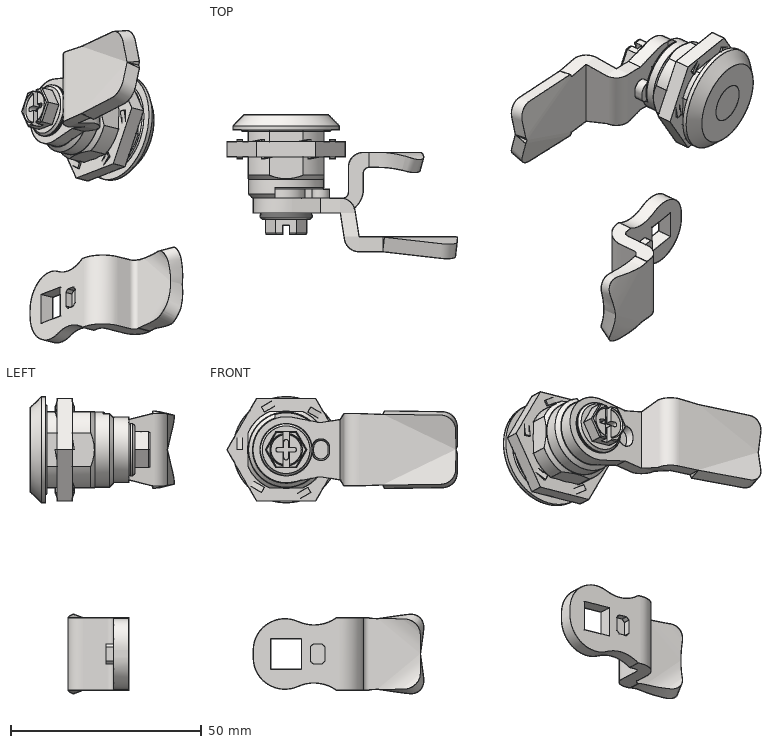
import cadquery as cq
import math


head_face_y = 22.0
head_cone_y = 19.0
head_back_y = 17.9
head_face_radius = 11.1
head_radius = 14.0
thread_radius = 10.95
thread_end_y = 6.0
thread_chamfer = 1.1
flats_width = 20.0
barrel_radius = 9.9
barrel_chamfer = 1.1
notch_depth = 2.35
notch_rim_height = 0.5
notch_rim_width = 0.2
notch_offset = 2.9

core_radius = 5.0
spindle_side = 8.0

gasket_thickness = 0.4
gasket_radius = 11.9
gasket_chamfer = 0.3

nut_back_y = 14.85
nut_thickness = 4.0
nut_width = 27.0
nut_bore = 20.3
tooth_count = 6
tooth_inner_x = 11.4
tooth_width = 1.6
tooth_length = 3.1
tooth_height = 0.55

washer_radius = 6.7
washer_thickness = 0.5
shank_radius = 2.5
shank_length = 9.4
collar_radius = 6.9
collar_thickness = 1.2
collar_chamfer = 0.6
hex_width = 9.45
hex_height = 4.0
hex_chamfer_width = 0.2
hex_chamfer_height = 0.5
dish_radius = 4.3
dish_floor_radius = 4.0
dish_depth = 0.5
slot_width = 1.7
slot_depth = 2.4
cross_depth = 2.8
cross_span = 5.4
cross_arm_width = 1.25

sheet = 4.0
grip_half_width = 9.5
grip_end_half = 9.3
grip_corner_radius = 3.9

cam_round_radius = 8.7
cam_waist_x = 9.0
cam_waist_half = 7.1
cam_base_end_x = 14.2
cam_base_end_half = 8.0
cam_step_x = 19.2
cam_step_y = -10.2
cam_crease_x = 25.4
cam_tip_x = 44.65
cam_fold_angle = 15.0
cam_stop_x = 9.15
cam_stop_size = (4.6, 5.7)
cam_stop_height = 2.35
cam_stop_draft = 10.0

spare_drop = 53.7
spare_round_radius = 8.4
spare_round_x = -0.3
spare_round_z = 0.9
spare_waist_radius = 10.2
spare_waist_half = 7.7
spare_leg_x = 16.35
spare_bend_radius = 6.25
spare_grip_back_y = 12.05
spare_inner_fillet = 1.5
spare_crease_x = 24.1
spare_tip_x = 35.3
spare_curl_radius = 10.95
spare_stop_x = 8.3
spare_stop_size = (3.8, 5.3)
spare_stop_chamfer = 0.8
spare_stop_height = 2.0


def turned(profile):
    """Solid of revolution about Y from (radius, Y) points."""
    return cq.Workplane("XY").polyline(profile).close().revolve(360, (0, 0), (0, 1))


def xz_plane(y):
    """Workplane at height Y with local axes X and Z; it extrudes toward -Y."""
    return cq.Workplane("XZ", origin=(0, y, 0))


def hexagon_prism(top_y, across_flats, length):
    """Hexagonal prism with two corners on the X axis."""
    across_corners = across_flats / math.cos(math.pi / 6)
    return xz_plane(top_y).polygon(6, across_corners).extrude(length)


def barrel_prism(top_y, bottom_y):
    """Threaded-barrel section: a circle cut by four flats."""
    length = top_y - bottom_y
    round_bar = xz_plane(top_y).circle(thread_radius).extrude(length)
    square_bar = xz_plane(top_y).rect(flats_width, flats_width).extrude(length)
    return round_bar.intersect(square_bar)


def make_core():
    body = xz_plane(head_face_y).circle(core_radius).extrude(head_face_y)
    spindle = xz_plane(0).rect(spindle_side, spindle_side).extrude(sheet)
    shank_hole = xz_plane(-sheet).circle(shank_radius).extrude(-shank_length)
    return body.union(spindle).cut(shank_hole)


def make_housing():
    chamfer_end_y = thread_end_y - thread_chamfer
    head = turned([
        (0, head_back_y),
        (head_radius, head_back_y),
        (head_radius, head_cone_y),
        (head_face_radius, head_face_y),
        (0, head_face_y),
    ])
    thread_taper = turned([
        (0, chamfer_end_y),
        (thread_radius - thread_chamfer, chamfer_end_y),
        (thread_radius, thread_end_y),
        (thread_radius, head_back_y),
        (0, head_back_y),
    ])
    thread = barrel_prism(head_back_y, chamfer_end_y).intersect(thread_taper)
    barrel = turned([
        (0, 0),
        (barrel_radius - barrel_chamfer, 0),
        (barrel_radius, barrel_chamfer),
        (barrel_radius, chamfer_end_y),
        (0, chamfer_end_y),
    ])
    rim_y = notch_depth + notch_rim_height
    notch_size = 2 * barrel_radius
    notch = (
        xz_plane(rim_y)
        .center(-notch_offset, -notch_offset)
        .rect(notch_size, notch_size, centered=False)
        .extrude(rim_y)
    )
    notch_floor = turned([
        (0, notch_depth),
        (barrel_radius - notch_rim_width, notch_depth),
        (barrel_radius, rim_y),
        (0, rim_y),
    ])
    notch = notch.cut(notch_floor)
    bore = xz_plane(head_face_y).circle(core_radius).extrude(head_face_y)
    return head.union(thread).union(barrel).cut(notch).cut(bore)


def make_gasket():
    front_y = head_back_y - gasket_thickness
    ring = turned([
        (0, front_y),
        (gasket_radius - gasket_chamfer, front_y),
        (gasket_radius, head_back_y),
        (0, head_back_y),
    ])
    return ring.cut(barrel_prism(head_back_y, front_y))


def make_tooth(face_y, outward, end_z):
    """Ramp on a nut face, full height at Z = 0 and running out at end_z."""
    side = [(face_y, 0), (face_y + outward * tooth_height, 0), (face_y, end_z)]
    start_x = -tooth_inner_x - tooth_width
    return cq.Workplane("YZ", origin=(start_x, 0, 0)).polyline(side).close().extrude(tooth_width)


def make_nut():
    front_y = nut_back_y - nut_thickness
    nut = hexagon_prism(nut_back_y, nut_width, nut_thickness)
    for index in range(tooth_count):
        turn = index * 360 / tooth_count
        for tooth in (make_tooth(front_y, -1, tooth_length), make_tooth(nut_back_y, 1, -tooth_length)):
            nut = nut.union(tooth.rotate((0, 0, 0), (0, 1, 0), turn))
    bore = xz_plane(nut_back_y).circle(nut_bore / 2).extrude(nut_thickness)
    return nut.cut(bore).cut(barrel_prism(nut_back_y, front_y))


def make_washer():
    return xz_plane(-sheet).circle(washer_radius).circle(shank_radius).extrude(washer_thickness)


def make_screw():
    collar_y = -sheet - washer_thickness
    hex_y = collar_y - collar_thickness
    end_y = hex_y - hex_height
    collar = xz_plane(collar_y).circle(collar_radius).extrude(collar_thickness)
    collar = collar.faces("<Y").chamfer(collar_chamfer)
    hexagon = hexagon_prism(hex_y, hex_width, hex_height)
    hexagon = hexagon.faces("<Y").chamfer(hex_chamfer_height, hex_chamfer_width)
    shank = xz_plane(collar_y).circle(shank_radius).extrude(-(washer_thickness + shank_length))
    dish = turned([
        (0, end_y),
        (dish_radius, end_y),
        (dish_floor_radius, end_y + dish_depth),
        (0, end_y + dish_depth),
    ])
    slot = xz_plane(end_y).rect(slot_width, 2 * hex_width).extrude(-slot_depth)
    screw = collar.union(hexagon).union(shank).cut(dish).cut(slot)
    for arm_angle in (0, 90):
        arm = xz_plane(end_y).slot2D(cross_span, cross_arm_width, arm_angle).extrude(-cross_depth)
        screw = screw.cut(arm)
    return screw


def crease_plane(crease_x, tip_x, front_y):
    """Plane across a grip crease: local x points to the grip corner, local y to -Y, normal to the tip."""
    along = cq.Vector(tip_x - crease_x, 0, -grip_end_half)
    across = cq.Vector(grip_end_half, 0, tip_x - crease_x)
    return cq.Plane(origin=(crease_x, front_y, grip_end_half), xDir=across, normal=along)


def make_folded_corner(front_y):
    """Flat grip corner folded about its front crease, with the wedge that fills the open back."""
    start = (cam_crease_x, grip_end_half)
    flap = (
        xz_plane(front_y)
        .moveTo(*start)
        .lineTo(cam_tip_x - grip_corner_radius, grip_end_half)
        .radiusArc((cam_tip_x, grip_end_half - grip_corner_radius), grip_corner_radius)
        .lineTo(cam_tip_x, 0)
        .close()
        .extrude(-sheet)
        .rotate((cam_crease_x, front_y, grip_end_half), (cam_tip_x, front_y, 0), cam_fold_angle)
    )
    fold = math.radians(cam_fold_angle)
    crease_length = math.hypot(cam_tip_x - cam_crease_x, grip_end_half)
    wedge = (
        cq.Workplane(crease_plane(cam_crease_x, cam_tip_x, front_y))
        .polyline([(0, 0), (0, -sheet), (sheet * math.sin(fold), -sheet * math.cos(fold))])
        .close()
        .extrude(crease_length)
    )
    return flap.union(wedge)


def make_grip_plate(start_x, crease_x, tip_x, back_y):
    """Flat part of a grip, ending in the point where its two creases meet."""
    outline = [
        (start_x, -grip_half_width),
        (crease_x, -grip_end_half),
        (tip_x, 0),
        (crease_x, grip_end_half),
        (start_x, grip_half_width),
    ]
    return xz_plane(back_y).polyline(outline).close().extrude(sheet)


def make_cam_base():
    waist_distance = math.hypot(cam_waist_x, cam_waist_half)
    tangent_angle = math.atan2(cam_waist_half, cam_waist_x) + math.acos(cam_round_radius / waist_distance)
    tangent_x = cam_round_radius * math.cos(tangent_angle)
    tangent_z = cam_round_radius * math.sin(tangent_angle)
    return (
        xz_plane(0)
        .moveTo(tangent_x, tangent_z)
        .lineTo(cam_waist_x, cam_waist_half)
        .lineTo(cam_base_end_x, cam_base_end_half)
        .lineTo(cam_base_end_x, -cam_base_end_half)
        .lineTo(cam_waist_x, -cam_waist_half)
        .lineTo(tangent_x, -tangent_z)
        .threePointArc((-cam_round_radius, 0), (tangent_x, tangent_z))
        .close()
        .extrude(sheet)
    )


def make_cam_leg():
    """Slanted leg with a bend about a sharp inner corner at each end, widening toward the grip."""
    run = cam_step_x - cam_base_end_x
    fall = cam_step_y + sheet
    tilt = math.atan2(fall, run) + math.acos(sheet / math.hypot(run, fall))
    normal_x = sheet * math.cos(tilt)
    normal_y = sheet * math.sin(tilt)
    upper_middle = (tilt + math.pi / 2) / 2
    lower_middle = (tilt + math.pi + 3 * math.pi / 2) / 2
    grip_front_y = cam_step_y - sheet
    profile = (
        cq.Workplane("XY", origin=(0, 0, -grip_half_width))
        .moveTo(cam_base_end_x, -sheet)
        .lineTo(cam_base_end_x, 0)
        .threePointArc(
            (cam_base_end_x + sheet * math.cos(upper_middle), -sheet + sheet * math.sin(upper_middle)),
            (cam_base_end_x + normal_x, -sheet + normal_y),
        )
        .lineTo(cam_step_x, cam_step_y)
        .lineTo(cam_step_x, grip_front_y)
        .threePointArc(
            (cam_step_x + sheet * math.cos(lower_middle), cam_step_y + sheet * math.sin(lower_middle)),
            (cam_step_x - normal_x, cam_step_y - normal_y),
        )
        .close()
        .extrude(2 * grip_half_width)
    )
    widening = [
        (0, cam_base_end_half),
        (-sheet, cam_base_end_half),
        (cam_step_y, grip_half_width),
        (grip_front_y, grip_half_width),
    ]
    mirrored = [(y, -z) for y, z in reversed(widening)]
    trim = cq.Workplane("YZ").polyline(widening + mirrored).close().extrude(cam_tip_x)
    return profile.intersect(trim)


def square_hole():
    return xz_plane(0).rect(spindle_side, spindle_side).extrude(sheet)


def make_cam():
    stop_width, stop_length = cam_stop_size
    stop = xz_plane(0).center(cam_stop_x, 0).slot2D(stop_length, stop_width, 90).extrude(-cam_stop_height)
    pocket = (
        xz_plane(-sheet)
        .center(cam_stop_x, 0)
        .slot2D(stop_length, stop_width, 90)
        .extrude(-cam_stop_height, taper=cam_stop_draft)
    )
    corner = make_folded_corner(cam_step_y - sheet)
    return (
        make_cam_base()
        .union(make_cam_leg())
        .union(make_grip_plate(cam_step_x, cam_crease_x, cam_tip_x, cam_step_y))
        .union(corner)
        .union(corner.mirror("XY"))
        .union(stop)
        .cut(pocket)
        .cut(square_hole())
    )


def make_spare_base():
    round_top = spare_round_z + spare_round_radius
    waist_z = spare_waist_half + spare_waist_radius
    rise = waist_z - spare_round_z
    reach = spare_round_radius + spare_waist_radius
    waist_x = spare_round_x + math.sqrt(reach**2 - rise**2)
    blend = spare_round_radius / reach
    blend_x = spare_round_x + blend * (waist_x - spare_round_x)
    blend_z = spare_round_z + blend * rise
    flare_x = waist_x + math.sqrt(spare_waist_radius**2 - (waist_z - grip_half_width) ** 2)
    left_x = spare_round_x - spare_round_radius
    bend_x = spare_leg_x + sheet - spare_bend_radius
    return (
        xz_plane(0)
        .moveTo(left_x, -spare_round_z)
        .lineTo(left_x, spare_round_z)
        .threePointArc((spare_round_x, round_top), (blend_x, blend_z))
        .threePointArc((waist_x, spare_waist_half), (flare_x, grip_half_width))
        .lineTo(bend_x, grip_half_width)
        .lineTo(bend_x, -grip_half_width)
        .lineTo(flare_x, -grip_half_width)
        .threePointArc((waist_x, -spare_waist_half), (blend_x, -blend_z))
        .threePointArc((spare_round_x, -round_top), (left_x, -spare_round_z))
        .close()
        .extrude(sheet)
    )


def make_spare_leg():
    """Leg square to the base and the grip, with rounded bends and filleted inner corners."""
    leg_right = spare_leg_x + sheet
    grip_front_y = spare_grip_back_y - sheet
    return (
        cq.Workplane("XY", origin=(0, 0, -grip_half_width))
        .moveTo(leg_right - spare_bend_radius, -sheet)
        .lineTo(leg_right - spare_bend_radius, 0)
        .lineTo(spare_leg_x - spare_inner_fillet, 0)
        .radiusArc((spare_leg_x, spare_inner_fillet), -spare_inner_fillet)
        .lineTo(spare_leg_x, grip_front_y)
        .radiusArc((leg_right, spare_grip_back_y), sheet)
        .lineTo(leg_right + spare_inner_fillet, spare_grip_back_y)
        .lineTo(leg_right + spare_inner_fillet, grip_front_y)
        .radiusArc((leg_right, grip_front_y - spare_inner_fillet), -spare_inner_fillet)
        .lineTo(leg_right, spare_bend_radius - sheet)
        .radiusArc((leg_right - spare_bend_radius, -sheet), spare_bend_radius)
        .close()
        .extrude(2 * grip_half_width)
    )


def make_curled_corner(front_y):
    """Grip corner curled about an axis parallel to the crease, with walls square to its faces."""
    run = spare_tip_x - spare_crease_x
    crease_length = math.hypot(run, grip_end_half)
    run_part = run / crease_length
    width_part = grip_end_half / crease_length
    corner_along = run * run_part
    corner_across = run * width_part
    centre_across = corner_across - grip_corner_radius * (width_part + run_part)
    centre_along = corner_along - grip_corner_radius * (run_part - width_part)
    top_tangent = centre_across + grip_corner_radius * run_part
    end_tangent = centre_across + grip_corner_radius * width_part
    apex = centre_across + grip_corner_radius
    plane = crease_plane(spare_crease_x, spare_tip_x, front_y)

    def arc_half(across):
        return math.sqrt(grip_corner_radius**2 - (across - centre_across) ** 2)

    def section(across):
        if across < top_tangent:
            low = across * run_part / width_part
        else:
            low = centre_along - arc_half(across)
        if across < end_tangent:
            high = crease_length - across * width_part / run_part
        else:
            high = centre_along + arc_half(across)
        angle = across / spare_curl_radius
        points = []
        for height, along in ((0, low), (0, high), (sheet, high), (sheet, low)):
            radius = spare_curl_radius + height
            local = (radius * math.sin(angle), spare_curl_radius - radius * math.cos(angle), along)
            points.append(plane.toWorldCoords(local))
        return cq.Wire.makePolygon(points, close=True)

    straight = [end_tangent * part for part in (0, 0.5, 1)]
    rounded = [end_tangent + (apex - end_tangent) * part for part in (0, 0.4, 0.7, 0.9, 0.99)]
    straight_part = cq.Solid.makeLoft([section(across) for across in straight])
    rounded_part = cq.Solid.makeLoft([section(across) for across in rounded])
    return cq.Workplane(straight_part).union(cq.Workplane(rounded_part))


def make_spare_cam():
    stop_width, stop_length = spare_stop_size
    stop = (
        xz_plane(spare_stop_height)
        .center(spare_stop_x, 0)
        .rect(stop_width, stop_length)
        .extrude(spare_stop_height)
        .edges("|Y")
        .chamfer(spare_stop_chamfer)
    )
    pocket = stop.translate((0, -sheet, 0))
    grip_start_x = spare_leg_x + sheet
    corner = make_curled_corner(spare_grip_back_y - sheet)
    cam = (
        make_spare_base()
        .union(make_spare_leg())
        .union(make_grip_plate(grip_start_x, spare_crease_x, spare_tip_x, spare_grip_back_y))
        .union(corner)
        .union(corner.mirror("XY"))
        .union(stop)
        .cut(pocket)
        .cut(square_hole())
    )
    return cam.translate((0, 0, -spare_drop))


housing = make_housing()
core = make_core()
gasket = make_gasket()
nut = make_nut()
washer = make_washer()
screw = make_screw()
cam = make_cam()
spare_cam = make_spare_cam()

result = cq.Compound.makeCompound([
    housing.val(),
    core.val(),
    gasket.val(),
    nut.val(),
    washer.val(),
    screw.val(),
    cam.val(),
    spare_cam.val(),
])